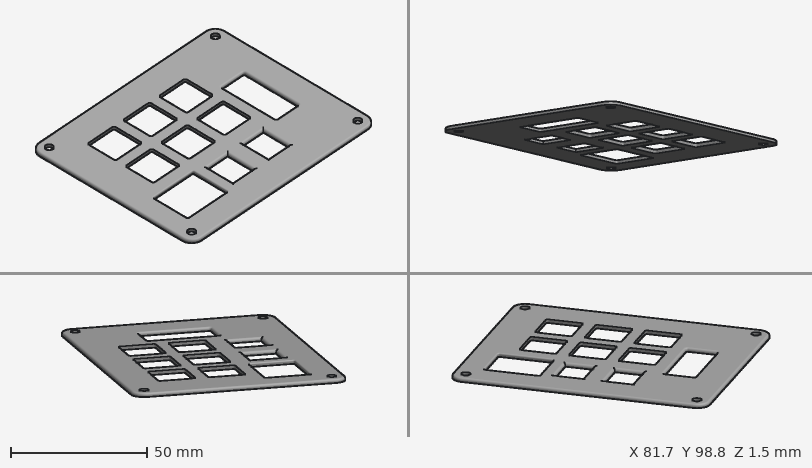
import cadquery as cq

PLATE_LENGTH_X = 81.7
PLATE_LENGTH_Y = 98.83
PLATE_THICKNESS = 1.5
CORNER_RADIUS = 5.0
EDGE_FILLET = 1.0

MOUNT_HOLE_DIAMETER = 3.4
MOUNT_SPACING_X = PLATE_LENGTH_X - 2 * CORNER_RADIUS
MOUNT_SPACING_Y = PLATE_LENGTH_Y - 2 * CORNER_RADIUS

KEY_COLUMNS = 2
KEY_ROWS = 3
KEY_PITCH = 19.05
KEY_SIZE = 14.2
KEY_CORNER_RADIUS = 0.8
KEY_GRID_CENTER = (-10.4, -7.25)

DISPLAY_CENTER = (-0.3, 30.55)
DISPLAY_SIZE = (27.5, 12.0)
DISPLAY_CORNER_RADIUS = 0.6
DISPLAY_RIM_FILLET = 1.0

BUTTON_COLUMN_X = 20.65
BUTTON_SIZE = (12.8, 10.8)
BUTTON_RIM_FILLET = 1.1
UPPER_BUTTON_Y = 11.45
BUTTON_ROWS_Y = (UPPER_BUTTON_Y, UPPER_BUTTON_Y - KEY_PITCH)

JOYSTICK_CENTER = (20.6, -28.85)
JOYSTICK_SIZE = (17.4, 21.3)
JOYSTICK_CORNER_RADIUS = 0.5
JOYSTICK_RIM_FILLET = 0.6


def make_plate():
    """Rounded plate resting on Z = 0 with its upper outer edge rounded."""
    plate = cq.Workplane("XY").box(
        PLATE_LENGTH_X, PLATE_LENGTH_Y, PLATE_THICKNESS, centered=(True, True, False)
    )
    return plate.edges("|Z").fillet(CORNER_RADIUS).faces(">Z").edges().fillet(EDGE_FILLET)


def cut_window(plate, center, size, corner_radius=0.0, rim_fillet=0.0):
    """Cut a rectangular through window and round its upper rim."""
    cutter = cq.Workplane("XY").box(*size, PLATE_THICKNESS, centered=(True, True, False))
    if corner_radius > 0:
        cutter = cutter.edges("|Z").fillet(corner_radius)
    cutter = cutter.translate((*center, 0))
    plate = plate.cut(cutter)
    if rim_fillet > 0:
        rim_reach = [side / 2 + rim_fillet for side in size]
        rim_box = cq.selectors.BoxSelector(
            (center[0] - rim_reach[0], center[1] - rim_reach[1], PLATE_THICKNESS - rim_fillet / 2),
            (center[0] + rim_reach[0], center[1] + rim_reach[1], PLATE_THICKNESS + rim_fillet / 2),
        )
        plate = plate.edges(rim_box).fillet(rim_fillet)
    return plate


def cut_mount_holes(plate):
    return (
        plate.faces(">Z")
        .workplane(origin=(0, 0, PLATE_THICKNESS))
        .rect(MOUNT_SPACING_X, MOUNT_SPACING_Y, forConstruction=True)
        .vertices()
        .hole(MOUNT_HOLE_DIAMETER)
    )


def cut_key_grid(plate):
    for column in range(KEY_COLUMNS):
        for row in range(KEY_ROWS):
            center = (
                KEY_GRID_CENTER[0] + (column - (KEY_COLUMNS - 1) / 2) * KEY_PITCH,
                KEY_GRID_CENTER[1] + (row - (KEY_ROWS - 1) / 2) * KEY_PITCH,
            )
            plate = cut_window(plate, center, (KEY_SIZE, KEY_SIZE), KEY_CORNER_RADIUS)
    return plate


def cut_buttons(plate):
    for button_y in BUTTON_ROWS_Y:
        plate = cut_window(plate, (BUTTON_COLUMN_X, button_y), BUTTON_SIZE, rim_fillet=BUTTON_RIM_FILLET)
    return plate


result = make_plate()
result = cut_mount_holes(result)
result = cut_key_grid(result)
result = cut_window(result, DISPLAY_CENTER, DISPLAY_SIZE, DISPLAY_CORNER_RADIUS, DISPLAY_RIM_FILLET)
result = cut_buttons(result)
result = cut_window(result, JOYSTICK_CENTER, JOYSTICK_SIZE, JOYSTICK_CORNER_RADIUS, JOYSTICK_RIM_FILLET)